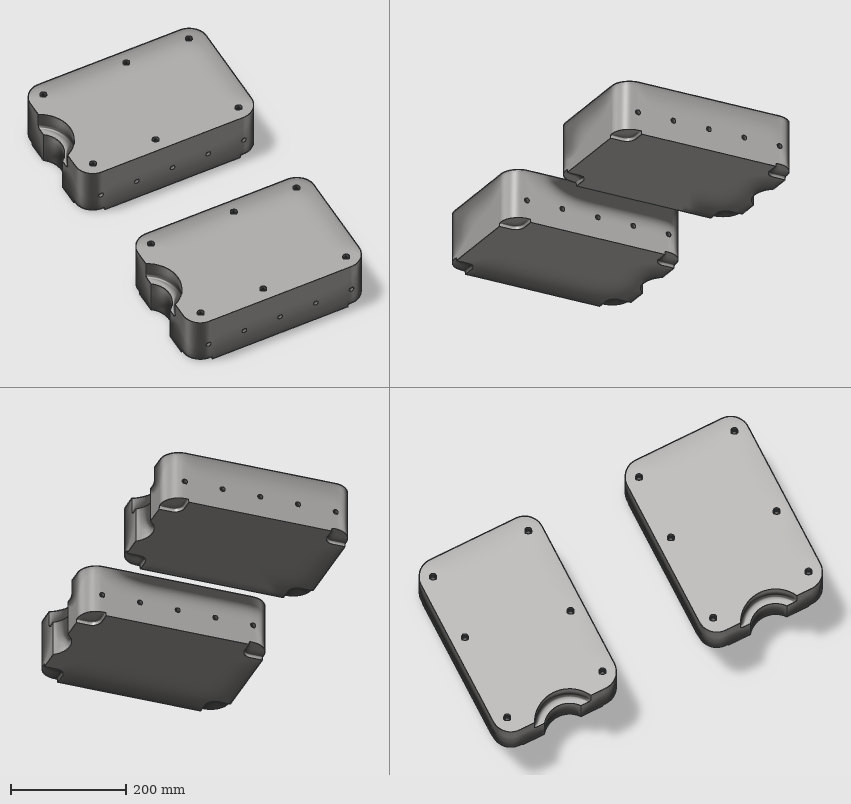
import cadquery as cq

width = 235.0
length = 345.0
height = 98.65
corner_radius = 34.0
spacing = 400.0
block_count = 2

recess_axis_offset = 27.0
scoop_radius = 44.5
counterbore_radius = 61.0
counterbore_depth = 33.0
counterbore_fillet = 6.0

top_hole_mouth_diameter = 12.0
top_hole_mouth_depth = 10.0
top_hole_core_diameter = 10.5
top_hole_depth = 20.0
top_hole_side_margin = 25.0
top_hole_end_margin = 30.0
middle_hole_shift = 20.0

cross_hole_diameter = 9.0
cross_hole_count = 5
cross_hole_pitch = 70.0
cross_hole_drop = 58.0

relief_size = 40.0
relief_radius = 18.0
relief_height = 6.0
relief_draft = 10.0
relief_ceiling_fillet = 1.5


def block_body():
    return (
        cq.Workplane("XY")
        .rect(width, length)
        .extrude(height)
        .edges("|Z")
        .fillet(corner_radius)
    )


def front_recess():
    axis_y = -length / 2 - recess_axis_offset
    scoop = cq.Workplane("XY").center(0, axis_y).circle(scoop_radius).extrude(height)
    counterbore = (
        cq.Workplane("XY", origin=(0, axis_y, height - counterbore_depth))
        .circle(counterbore_radius)
        .extrude(counterbore_depth)
        .faces("<Z")
        .edges()
        .fillet(counterbore_fillet)
    )
    return scoop.union(counterbore)


def top_holes():
    hole_x = width / 2 - top_hole_side_margin
    hole_y = length / 2 - top_hole_end_margin
    centers = []
    for side in (-1, 1):
        for y in (-hole_y, -side * middle_hole_shift, hole_y):
            centers.append((side * hole_x, y))
    top_face = cq.Workplane("XY", origin=(0, 0, height)).pushPoints(centers)
    cores = top_face.circle(top_hole_core_diameter / 2).extrude(-top_hole_depth)
    mouths = top_face.circle(top_hole_mouth_diameter / 2).extrude(-top_hole_mouth_depth)
    return cores.union(mouths)


def cross_holes():
    return (
        cq.Workplane("YZ", origin=(-width / 2, 0, height - cross_hole_drop))
        .rarray(cross_hole_pitch, 1, cross_hole_count, 1)
        .circle(cross_hole_diameter / 2)
        .extrude(width)
    )


def corner_reliefs():
    return (
        cq.Workplane("XY")
        .rect(width, length, forConstruction=True)
        .vertices()
        .rect(2 * relief_size, 2 * relief_size)
        .extrude(relief_height, taper=relief_draft)
        .edges("not(<Z or >Z)")
        .fillet(relief_radius)
        .faces(">Z")
        .edges()
        .fillet(relief_ceiling_fillet)
    )


block = (
    block_body()
    .cut(front_recess())
    .cut(top_holes())
    .cut(cross_holes())
    .cut(corner_reliefs())
)

blocks = []
for index in range(block_count):
    offset_x = (index - (block_count - 1) / 2) * spacing
    blocks.append(block.translate((offset_x, 0, 0)).val())

result = cq.Compound.makeCompound(blocks)